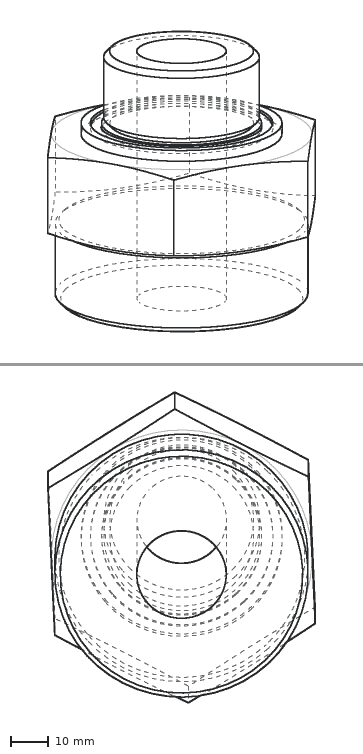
import cadquery as cq
import math

corner_span = 80.8
across_flats = corner_span * math.cos(math.radians(30))
hex_height = 24.0
hex_chamfer_angle = 15.0

base_diameter = 68.0
base_height = 22.0
base_top_chamfer = 1.0
base_bottom_chamfer = 1.45
collar_diameter = 54.0
collar_height = 3.0
stud_diameter = 41.9
stud_height = 20.05
stud_chamfer = 1.6
bore_diameter = 24.0

ring_inner_diameter = 43.0
ring_outer_diameter = 49.0

hex_bottom = base_height
hex_top = hex_bottom + hex_height
collar_top = hex_top + collar_height
total_height = collar_top + stud_height


def cylinder(diameter, height, bottom):
    return cq.Workplane("XY").workplane(offset=bottom).circle(diameter / 2).extrude(height)


def make_hexagon():
    """Hexagonal prism with corners on Y, bevelled by a cone at both ends."""
    prism = (
        cq.Workplane("XY").workplane(offset=hex_bottom)
        .polygon(6, corner_span).extrude(hex_height)
        .rotate((0, 0, 0), (0, 0, 1), 90)
    )
    flat_radius = across_flats / 2
    corner_radius = corner_span / 2
    corner_drop = (corner_radius - flat_radius) * math.tan(math.radians(hex_chamfer_angle))
    envelope = (
        cq.Workplane("XZ")
        .moveTo(0, hex_bottom)
        .lineTo(flat_radius, hex_bottom)
        .lineTo(corner_radius, hex_bottom + corner_drop)
        .lineTo(corner_radius, hex_top - corner_drop)
        .lineTo(flat_radius, hex_top)
        .lineTo(0, hex_top)
        .close()
        .revolve(360, (0, 0, 0), (0, 1, 0))
    )
    return prism.intersect(envelope)


def make_base():
    base = cylinder(base_diameter, base_height, 0)
    base = base.faces("<Z").chamfer(base_bottom_chamfer)
    return base.faces(">Z").chamfer(base_top_chamfer)


def make_collar():
    """Collar with a ring groove, the rounded upper half of the ring filling it."""
    inner_radius = ring_inner_diameter / 2
    outer_radius = ring_outer_diameter / 2
    tube_radius = (outer_radius - inner_radius) / 2
    groove_floor = collar_top - tube_radius
    groove = (
        cq.Workplane("XZ")
        .moveTo(inner_radius, groove_floor)
        .lineTo(inner_radius, collar_top)
        .lineTo(outer_radius, collar_top)
        .lineTo(outer_radius, groove_floor)
        .close()
        .revolve(360, (0, 0, 0), (0, 1, 0))
    )
    ring = (
        cq.Workplane("XZ")
        .center(inner_radius + tube_radius, groove_floor)
        .circle(tube_radius)
        .revolve(360, (-inner_radius - tube_radius, 0, 0), (-inner_radius - tube_radius, 1, 0))
    )
    return cylinder(collar_diameter, collar_height, hex_top).cut(groove).union(ring)


def make_stud():
    return cylinder(stud_diameter, stud_height, collar_top).faces("<Z or >Z").chamfer(stud_chamfer)


body = make_base().union(make_hexagon()).union(make_collar()).union(make_stud())
bore = cylinder(bore_diameter, total_height, 0)
result = body.cut(bore)